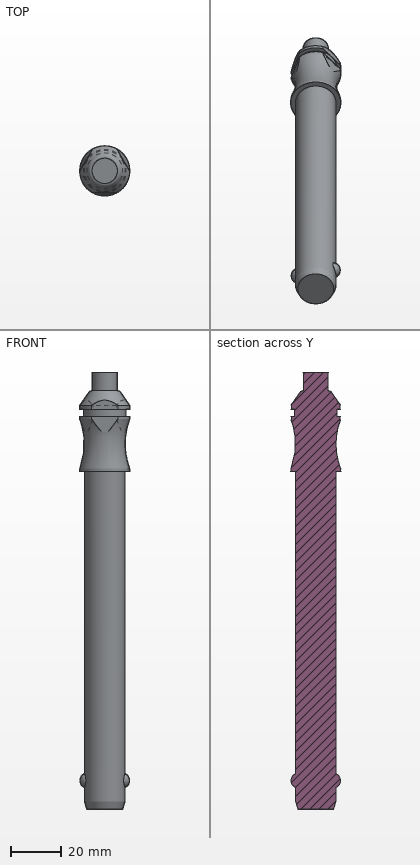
import cadquery as cq

total_length = 173.5
shaft_diameter = 16.1
shaft_radius = shaft_diameter / 2
tip_radius = 7.1
tip_height = 3.1

collar_diameter = 20.0
collar_radius = collar_diameter / 2
waist_radius = 8.2
handle_bottom = 134.1
collar_height = 1.0
grip_height = 19.8

groove_radius = 8.5
groove_height = 2.8
head_rim_height = 1.5
shoulder_radius = 5.9
shoulder_height = 5.9
shoulder_rounding = 1.4
button_radius = 5.0

flat_count = 3
flat_distance = groove_radius

ball_diameter = 6.0
ball_radius = ball_diameter / 2
ball_reach = 9.9
ball_height = 11.5

grip_bottom = handle_bottom + collar_height
waist_level = grip_bottom + grip_height / 2
grip_top = grip_bottom + grip_height
groove_bottom = grip_top + collar_height
groove_top = groove_bottom + groove_height
head_rim_top = groove_top + head_rim_height
shoulder_top = head_rim_top + shoulder_height


def make_shaft():
    """Round shaft with a tapered lower tip, reaching up to the handle."""
    return (
        cq.Workplane("XZ")
        .moveTo(0, 0)
        .lineTo(tip_radius, 0)
        .lineTo(shaft_radius, tip_height)
        .lineTo(shaft_radius, grip_bottom)
        .lineTo(0, grip_bottom)
        .close()
        .revolve(360, (0, 0, 0), (0, 1, 0))
    )


def make_handle():
    """Turned handle with a concave grip, a groove and a conical head."""
    handle = (
        cq.Workplane("XZ")
        .moveTo(0, handle_bottom)
        .lineTo(collar_radius, handle_bottom)
        .lineTo(collar_radius, grip_bottom)
        .threePointArc((waist_radius, waist_level), (collar_radius, grip_top))
        .lineTo(collar_radius, groove_bottom)
        .lineTo(groove_radius, groove_bottom)
        .lineTo(groove_radius, groove_top)
        .lineTo(collar_radius, groove_top)
        .lineTo(collar_radius, head_rim_top)
        .lineTo(shoulder_radius, shoulder_top)
        .lineTo(0, shoulder_top)
        .close()
        .revolve(360, (0, 0, 0), (0, 1, 0))
    )
    return handle.faces(">Z").edges().fillet(shoulder_rounding)


def cut_flats(handle):
    """Cut equally spaced flats across the head and the upper half of the grip."""
    cutter_width = collar_diameter
    cutter = cq.Workplane("XY").box(
        cutter_width,
        collar_radius,
        shoulder_top - waist_level,
        centered=(True, False, False),
    )
    cutter = cutter.translate((0, -flat_distance - collar_radius, waist_level))
    for index in range(flat_count):
        angle = index * 360 / flat_count
        handle = handle.cut(cutter.rotate((0, 0, 0), (0, 0, 1), angle))
    return handle


def make_button():
    """Release button standing on top of the head."""
    return (
        cq.Workplane("XY")
        .workplane(offset=head_rim_top)
        .circle(button_radius)
        .extrude(total_length - head_rim_top)
    )


result = make_shaft().union(cut_flats(make_handle())).union(make_button())

for side in (-1, 1):
    ball_x = side * (ball_reach - ball_radius)
    result = result.union(cq.Workplane("XY").sphere(ball_radius).translate((ball_x, 0, ball_height)))